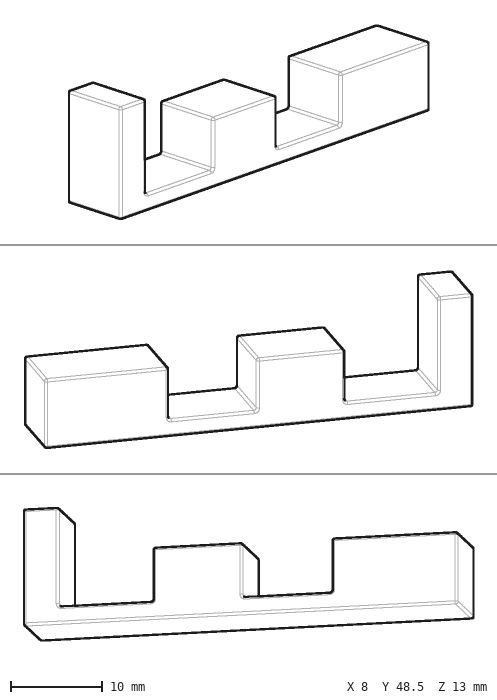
import cadquery as cq

width = 8.0
length = 48.5
post_height = 13.0

block_height = 8.0
floor_height = 2.0

post_length = 4.0
front_gap = 10.52
middle_block_length = 10.0
rear_gap = 10.0

edge_radius = 0.3

front = -length / 2
back = length / 2
post_back = front + post_length
middle_front = post_back + front_gap
middle_back = middle_front + middle_block_length
rear_front = middle_back + rear_gap

profile = [
    (front, 0),
    (back, 0),
    (back, block_height),
    (rear_front, block_height),
    (rear_front, floor_height),
    (middle_back, floor_height),
    (middle_back, block_height),
    (middle_front, block_height),
    (middle_front, floor_height),
    (post_back, floor_height),
    (post_back, post_height),
    (front, post_height),
]
body = cq.Workplane("YZ").polyline(profile).close().extrude(width / 2, both=True)

result = body.edges().fillet(edge_radius)